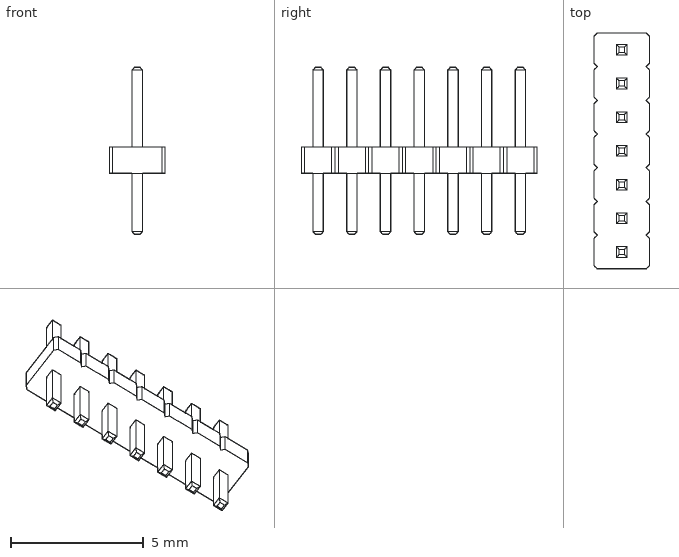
import cadquery as cq

pin_count = 7
body_length = 8.89
body_width = 2.1
body_height = 1.0
pitch = body_length / pin_count
corner_chamfer = 0.125

pin_side = 0.4
pin_above = 3.005
pin_below = 2.3
tip_height = 0.11
tip_inset = 0.1
tip_side = pin_side - 2 * tip_inset

pin_bottom = -pin_below
pin_top = body_height + pin_above


def row_position(index):
    """Y position of a pin, with the row centred on the origin."""
    return (index - (pin_count - 1) / 2) * pitch


def body_segment(y):
    """One pitch of the body; its chamfered corners form the side notches."""
    block = cq.Workplane("XY").box(body_width, pitch, body_height, centered=(True, True, False))
    return block.edges("|Z").chamfer(corner_chamfer).translate((0, y, 0))


def tapered_tip(y, z_base, z_end):
    """Square frustum from the full pin section to its flat end."""
    return (
        cq.Workplane("XY", origin=(0, y, z_base))
        .rect(pin_side, pin_side)
        .workplane(offset=z_end - z_base)
        .rect(tip_side, tip_side)
        .loft(ruled=True)
    )


def pin(y):
    """Square pin running through the body, tapered at both ends."""
    shank_bottom = pin_bottom + tip_height
    shank_top = pin_top - tip_height
    shank = (
        cq.Workplane("XY", origin=(0, y, shank_bottom))
        .rect(pin_side, pin_side)
        .extrude(shank_top - shank_bottom)
    )
    lower_tip = tapered_tip(y, shank_bottom, pin_bottom)
    upper_tip = tapered_tip(y, shank_top, pin_top)
    return shank.union(lower_tip).union(upper_tip)


body = body_segment(row_position(0))
for index in range(1, pin_count):
    body = body.union(body_segment(row_position(index)))

result = body
for index in range(pin_count):
    result = result.union(pin(row_position(index)))
result = result.clean()